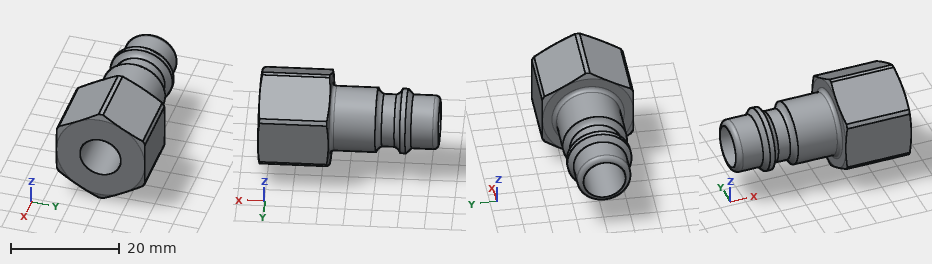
import cadquery as cq
import math

total_length = 33.0
hex_start = 20.0

bore_radius = 7.85 / 2

nose_radius = 10.0 / 2
nose_rounding = 1.0
nose_end = 5.0

collar_radius = 12.0 / 2
collar_start = nose_end + (collar_radius - nose_radius)
collar_end = 7.0

groove_radius = 9.75 / 2
groove_flank_width = 1.1
groove_flank_radius = 2.0
groove_start = collar_end + groove_flank_width
groove_end = 10.45

shank_radius = collar_radius
shank_start = groove_end + groove_flank_width
root_fillet = 0.75
shank_end = hex_start - root_fillet
hex_overlap = 1.0
plug_end = hex_start + hex_overlap

across_flats = 17.0
hex_sides = 6
half_side_angle = 180 / hex_sides
across_corners = across_flats / math.cos(math.radians(half_side_angle))
hex_corner_radius = 19.15 / 2
hex_face_radius = across_flats / 2
chamfer_angle = math.radians(15)
chamfer_length = (hex_corner_radius - hex_face_radius) * math.tan(chamfer_angle)


def make_plug():
    """Turned plug body, running a little way into the hexagon."""
    profile = (
        cq.Workplane("XY")
        .moveTo(0, 0)
        .lineTo(0, nose_radius - nose_rounding)
        .radiusArc((nose_rounding, nose_radius), nose_rounding)
        .lineTo(nose_end, nose_radius)
        .lineTo(collar_start, collar_radius)
        .lineTo(collar_end, collar_radius)
        .radiusArc((groove_start, groove_radius), -groove_flank_radius)
        .lineTo(groove_end, groove_radius)
        .radiusArc((shank_start, collar_radius), -groove_flank_radius)
        .lineTo(shank_end, shank_radius)
        .radiusArc((hex_start, shank_radius + root_fillet), -root_fillet)
        .lineTo(plug_end, shank_radius + root_fillet)
        .lineTo(plug_end, 0)
        .close()
    )
    return profile.revolve(360, (0, 0, 0), (1, 0, 0))


def make_hexagon():
    """Hexagon with flats facing +Y and -Y, trimmed to a cylinder with chamfered ends."""
    prism = (
        cq.Workplane("YZ", origin=(hex_start, 0, 0))
        .polygon(hex_sides, across_corners)
        .extrude(total_length - hex_start)
        .rotate((0, 0, 0), (1, 0, 0), half_side_angle)
    )
    envelope = (
        cq.Workplane("XY")
        .moveTo(hex_start, 0)
        .lineTo(hex_start, hex_face_radius)
        .lineTo(hex_start + chamfer_length, hex_corner_radius)
        .lineTo(total_length - chamfer_length, hex_corner_radius)
        .lineTo(total_length, hex_face_radius)
        .lineTo(total_length, 0)
        .close()
        .revolve(360, (0, 0, 0), (1, 0, 0))
    )
    return prism.intersect(envelope)


def make_bore():
    """Straight bore along the whole part."""
    return cq.Workplane("YZ").circle(bore_radius).extrude(total_length)


result = make_plug().union(make_hexagon()).cut(make_bore())